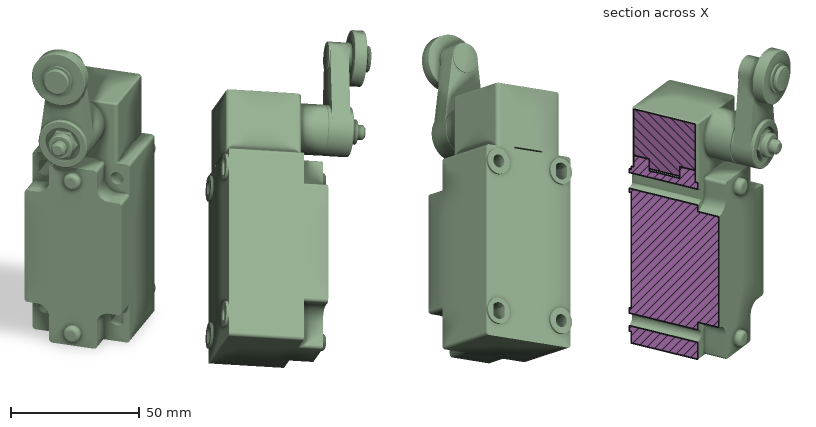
import cadquery as cq
import math


HOUSING_WIDTH = 40.0
HOUSING_DEPTH = 39.5
HOUSING_HEIGHT = 76.5
OUTLINE_FILLET = 1.2
HEAD_SIZE = 29.9
RECESS_DEPTH = HEAD_SIZE
FRONT_PANEL_HALF_WIDTH = 9.8
TOP_RECESS_HEIGHT = 12.5
BOTTOM_RECESS_HEIGHT = 16.0
RECESS_FILLET = 5.0
SELECT_MARGIN = 1.3

HOLE_SPACING_X = 29.8
HOLE_SPACING_Z = 60.0
LOWER_HOLE_Z = 10.1
HOLE_DIAMETER = 5.2
SLOT_LENGTH = 6.6
PAD_RADIUS = (HOUSING_WIDTH - HOLE_SPACING_X) / 2
PAD_THICKNESS = 1.0

SCREW_EDGE_DISTANCE = 5.5
SCREW_RADIUS = 3.5
SCREW_HEIGHT = 2.9
SCREW_FILLET = 1.6

HEAD_TAB_WIDTH = 13.3
POST_SIZE = (HEAD_SIZE - HEAD_TAB_WIDTH) / 2
POST_HEIGHT = 5.0
HEAD_GAP = 0.7
HEAD_EDGE_FILLET = 1.5
HEAD_TOP_FILLET = 0.8

HUB_RADIUS = 10.0
ARM_END_RADIUS = 6.0
ARM_LENGTH = 30.0
ROLLER_DIAMETER = 22.0
ROLLER_RADIUS = ROLLER_DIAMETER / 2
OVERALL_HEIGHT = 133.0
ROLLER_Z = OVERALL_HEIGHT - ROLLER_RADIUS
SHAFT_Z = ROLLER_Z - ARM_LENGTH
HEAD_TOP_Z = SHAFT_Z + HUB_RADIUS

BOSS_END = 41.6
ARM_BACK = 43.2
ARM_FRONT = 50.5
HUB_FRONT = 52.0
HUB_CHAMFER = 0.4

HUB_RECESS_RADIUS = 7.2
HUB_RECESS_FLOOR = 50.0
NUT_ACROSS_FLATS = 10.0
NUT_HEX_FRONT = 52.3
NUT_ROUND_RADIUS = 4.9
NUT_FRONT = 54.8
NUT_CHAMFER = 0.4
STUD_RADIUS = 2.9
STUD_FRONT = 58.1
STUD_CHAMFER = 0.9

RIVET_RADIUS = 5.9
RIVET_THICKNESS = 0.4
ROLLER_BACK = 52.1
ROLLER_FRONT = 57.0
ROLLER_CHAMFER = 0.3
COLLAR_RADIUS = 6.1
COLLAR_FRONT = 51.2
WASHER_RADIUS = 5.9
WASHER_FRONT = 57.9
PIN_RADIUS = 3.5
PIN_HEAD_RADIUS = 5.2
PIN_HEAD_BACK = 58.5
PIN_HEAD_FRONT = 59.8
PIN_HEAD_CHAMFER = 0.4


def plane_at(depth, x=0, z=0):
    """Workplane parallel to XZ at a depth, with its normal pointing to the front."""
    return cq.Workplane("XZ", origin=(x, -depth, z))


def disc(radius, back, front, z, x=0):
    return plane_at(back, x, z).circle(radius).extrude(front - back)


def block(width, back, front, bottom, top, x=0):
    return (
        plane_at(back, x, (bottom + top) / 2)
        .rect(width, top - bottom)
        .extrude(front - back)
    )


def corner_posts():
    """Four square posts under the corners of the head, leaving a cross-shaped channel."""
    span = HEAD_SIZE - POST_SIZE
    return (
        cq.Workplane("XY", origin=(0, -HEAD_SIZE / 2, HOUSING_HEIGHT))
        .rect(span, span, forConstruction=True)
        .vertices()
        .rect(POST_SIZE, POST_SIZE)
        .extrude(POST_HEIGHT)
    )


def head_column():
    """Rounded square column that shapes the posts and the head alike."""
    return (
        cq.Workplane("XY", origin=(0, -HEAD_SIZE / 2, HOUSING_HEIGHT))
        .rect(HEAD_SIZE, HEAD_SIZE)
        .extrude(HEAD_TOP_Z - HOUSING_HEIGHT)
        .edges("|Z")
        .fillet(HEAD_EDGE_FILLET)
        .faces(">Z")
        .edges()
        .fillet(HEAD_TOP_FILLET)
    )


def front_cover():
    """Cross-shaped front part left between the four corner recesses."""
    panel = block(2 * FRONT_PANEL_HALF_WIDTH, RECESS_DEPTH, HOUSING_DEPTH, 0, HOUSING_HEIGHT)
    wide_top = HOUSING_HEIGHT - TOP_RECESS_HEIGHT
    wide_part = block(HOUSING_WIDTH, RECESS_DEPTH, HOUSING_DEPTH, BOTTOM_RECESS_HEIGHT, wide_top)
    cover = panel.union(wide_part)
    inner_corners = cq.selectors.BoxSelector(
        (-FRONT_PANEL_HALF_WIDTH - SELECT_MARGIN, -HOUSING_DEPTH, SELECT_MARGIN),
        (FRONT_PANEL_HALF_WIDTH + SELECT_MARGIN, 0, HOUSING_HEIGHT - SELECT_MARGIN),
    )
    cover = cover.edges("|Y").edges(inner_corners).fillet(RECESS_FILLET)
    panel_ends = cover.faces("<Z or >Z").edges("|Y")
    panel_sides = cover.faces("<X or >X").edges("|Y")
    return panel_ends.add(panel_sides).fillet(OUTLINE_FILLET)


def cover_screw(z):
    screw = disc(SCREW_RADIUS, HOUSING_DEPTH, HOUSING_DEPTH + SCREW_HEIGHT, z)
    return screw.faces("<Y").edges().fillet(SCREW_FILLET)


def round_hole(x, z):
    return disc(HOLE_DIAMETER / 2, -PAD_THICKNESS, RECESS_DEPTH, z, x)


def slotted_hole(x, z):
    """Upright hole with rounded ends, as wide as the round holes."""
    ends = disc(SLOT_LENGTH / 2, -PAD_THICKNESS, RECESS_DEPTH, z, x)
    bottom = z - SLOT_LENGTH / 2
    sides = block(HOLE_DIAMETER, -PAD_THICKNESS, RECESS_DEPTH, bottom, bottom + SLOT_LENGTH, x)
    return ends.intersect(sides)


def make_housing():
    base = block(HOUSING_WIDTH, 0, RECESS_DEPTH, 0, HOUSING_HEIGHT).edges("|Y").fillet(OUTLINE_FILLET)
    posts = corner_posts().intersect(head_column())
    housing = base.union(front_cover()).union(posts)
    for z in (SCREW_EDGE_DISTANCE, HOUSING_HEIGHT - SCREW_EDGE_DISTANCE):
        housing = housing.union(cover_screw(z))
    for side in (-1, 1):
        for level in (-1, 1):
            x = side * HOLE_SPACING_X / 2
            z = LOWER_HOLE_Z + HOLE_SPACING_Z * (level + 1) / 2
            hole = slotted_hole(x, z) if side != level else round_hole(x, z)
            housing = housing.union(disc(PAD_RADIUS, -PAD_THICKNESS, 0, z, x)).cut(hole)
    return housing


def make_head():
    head = head_column().cut(corner_posts())
    head = head.cut(block(HEAD_SIZE, 0, HEAD_SIZE, HOUSING_HEIGHT, HOUSING_HEIGHT + HEAD_GAP))
    return head.union(disc(HUB_RADIUS, HEAD_SIZE / 2, BOSS_END, SHAFT_Z))


def lever_arm():
    """Tapered arm whose straight sides are tangent to the hub and to the rounded end."""
    tangent_sine = (HUB_RADIUS - ARM_END_RADIUS) / ARM_LENGTH
    tangent_cosine = math.sqrt(1 - tangent_sine**2)
    hub_x = HUB_RADIUS * tangent_cosine
    hub_z = HUB_RADIUS * tangent_sine
    end_x = ARM_END_RADIUS * tangent_cosine
    end_z = ARM_LENGTH + ARM_END_RADIUS * tangent_sine
    return (
        plane_at(ARM_BACK, 0, SHAFT_Z)
        .moveTo(-hub_x, hub_z)
        .lineTo(-end_x, end_z)
        .threePointArc((0, ARM_LENGTH + ARM_END_RADIUS), (end_x, end_z))
        .lineTo(hub_x, hub_z)
        .close()
        .extrude(ARM_FRONT - ARM_BACK)
    )


def hub():
    """Cylinder that carries the arm and meets the head boss."""
    return disc(HUB_RADIUS, BOSS_END, HUB_FRONT, SHAFT_Z).faces("<Y or >Y").chamfer(HUB_CHAMFER)


def hub_recess():
    return disc(HUB_RECESS_RADIUS, HUB_RECESS_FLOOR, HUB_FRONT, SHAFT_Z)


def nut_and_stud():
    """Nut that is hexagonal at its base and round at its front, with a stud through it."""
    across_corners = NUT_ACROSS_FLATS / math.cos(math.pi / 6)
    hexagon = (
        plane_at(HUB_RECESS_FLOOR, 0, SHAFT_Z)
        .polygon(6, across_corners)
        .extrude(NUT_HEX_FRONT - HUB_RECESS_FLOOR)
    )
    round_end = disc(NUT_ROUND_RADIUS, HUB_RECESS_FLOOR, NUT_FRONT, SHAFT_Z)
    round_end = round_end.faces("<Y").chamfer(NUT_CHAMFER)
    stud = disc(STUD_RADIUS, HUB_RECESS_FLOOR, STUD_FRONT, SHAFT_Z).faces("<Y").chamfer(STUD_CHAMFER)
    return hexagon.union(round_end).union(stud)


def roller_and_pin():
    roller = disc(ROLLER_RADIUS, ROLLER_BACK, ROLLER_FRONT, ROLLER_Z)
    roller = roller.faces("<Y or >Y").chamfer(ROLLER_CHAMFER)
    rivet = disc(RIVET_RADIUS, ARM_BACK - RIVET_THICKNESS, ARM_BACK, ROLLER_Z)
    collar = disc(COLLAR_RADIUS, ARM_FRONT, COLLAR_FRONT, ROLLER_Z)
    washer = disc(WASHER_RADIUS, ARM_FRONT, WASHER_FRONT, ROLLER_Z)
    pin = disc(PIN_RADIUS, ARM_FRONT, PIN_HEAD_FRONT, ROLLER_Z)
    pin_head = disc(PIN_HEAD_RADIUS, PIN_HEAD_BACK, PIN_HEAD_FRONT, ROLLER_Z)
    pin_head = pin_head.faces("<Y").chamfer(PIN_HEAD_CHAMFER)
    return roller.union(rivet).union(collar).union(washer).union(pin).union(pin_head)


def make_lever():
    return lever_arm().union(hub()).cut(hub_recess()).union(nut_and_stud()).union(roller_and_pin())


housing = make_housing()
head = make_head()
lever = make_lever()

result = cq.Compound.makeCompound([housing.val(), head.val(), lever.val()])